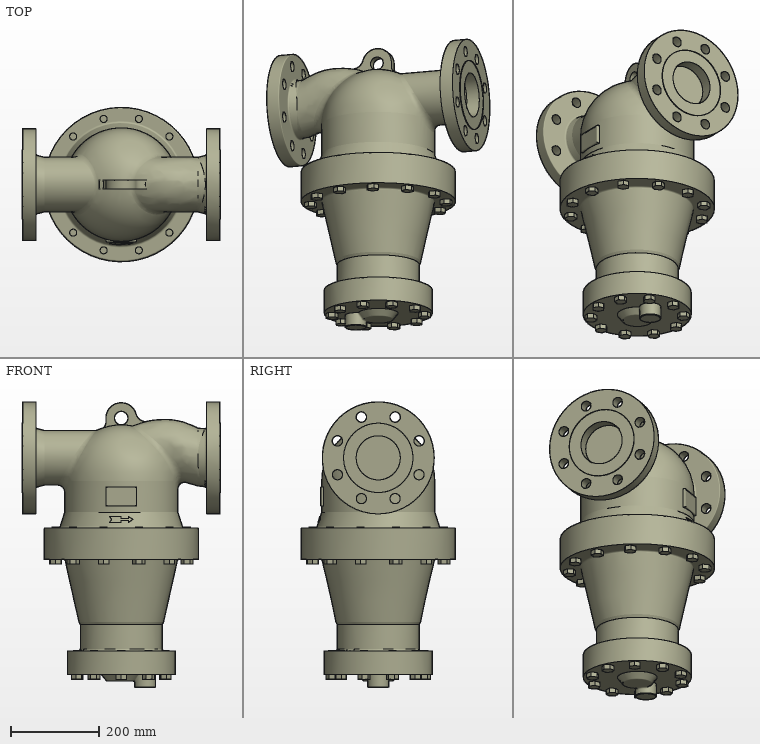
import cadquery as cq
import math


BODY_RADIUS = 257 / 2
DOME_CENTER_Z = -53.5
BODY_CONE_TOP_Z = -123.5
BODY_CONE_RADIUS = 139.7
BODY_FOOT_FILLET = 5

MAIN_FLANGE_RADIUS = 350 / 2
MAIN_FLANGE_TOP_Z = -158.5
MAIN_FLANGE_BOTTOM_Z = -230
MAIN_FLANGE_FILLET = 3.5
MAIN_BOLT_CIRCLE_RADIUS = 154
MAIN_BOLT_COUNT = 12
MAIN_BOLT_START_ANGLE = 15
MAIN_HEAD_TWIST = 15

LOWER_CONE_TOP_RADIUS = 254 / 2
LOWER_CONE_FILLET = 4
LOWER_CONE_BOTTOM_RADIUS = 96
LOWER_CONE_BOTTOM_Z = -372
NECK_RADIUS = 186 / 2
NECK_TOP_Z = -378
NECK_FILLET = 4

BOTTOM_FLANGE_RADIUS = 245 / 2
BOTTOM_FLANGE_TOP_Z = -437
BOTTOM_FLANGE_BOTTOM_Z = -491
BOTTOM_BOLT_CIRCLE_RADIUS = 105
BOTTOM_BOLT_COUNT = 10
BOTTOM_BOLT_START_ANGLE = 18
BOTTOM_HEAD_TWIST = 0

BOLT_DIAMETER = 16
MAIN_BOLT_END_HEIGHT = 2
BOTTOM_BOLT_END_HEIGHT = 1
HEAD_ACROSS_FLATS = 24
HEAD_HEIGHT = 10.5

DRAIN_COVER_RADIUS = 45
DRAIN_COVER_TIP_RADIUS = 33
DRAIN_COVER_BOTTOM_Z = -506
DRAIN_BOSS_DIAMETER = 48
DRAIN_BOSS_X = 54
DRAIN_BOSS_BOTTOM_Z = -520
DRAIN_BOSS_CHAMFER = 1.5
DRAIN_FILLET = 3

PORT_FACE_X = 450 / 2
RAISED_FACE_DIAMETER = 157.2
RAISED_FACE_HEIGHT = 1.6
PORT_FLANGE_DIAMETER = 254
PORT_FLANGE_THICKNESS = 32
PORT_FLANGE_FILLET = 2
PORT_BORE_DIAMETER = 100
PORT_BORE_DEPTH = 30
PORT_HOLE_DIAMETER = 23
PORT_HOLE_CIRCLE_RADIUS = 200 / 2
PORT_HOLE_COUNT = 8
HUB_RADIUS = 66
HUB_ROOT_FILLET = 4
HUB_SMALL_END_X = 173.5
PIPE_RADIUS = 124 / 2
PIPE_FILLET = 15
WALL_TOLERANCE = 0.01
SEAM_SAMPLES = (0.1, 0.5, 0.9)

ELBOW_TOP_X = 100
ELBOW_TOP_AXIS_Z = 25.5
ELBOW_RISE_RADIUS = 127
ELBOW_RISE_ANGLE = 45
ELBOW_FALL_ANGLE = 8
ELBOW_END_X = 203
ELBOW_END_AXIS_Z = -6.5
OUTLET_END_DROP = 1.6

LUG_HOLE_Z = 90
LUG_HOLE_DIAMETER = 30
LUG_RADIUS = 35
LUG_THICKNESS = 20
LUG_LEFT_FOOT_RADIUS = 15
LUG_LEFT_FOOT_Z = 65
LUG_RIGHT_FOOT_RADIUS = 24
LUG_RIGHT_FOOT_Z = 82
LUG_RIGHT_END_X = 63
LUG_BASE_Z = 40

PLATE_WIDTH = 68
PLATE_HEIGHT = 43.5
PLATE_CENTER_Z = -87.5
PLATE_FACE_Y = -130.5
PLATE_FILLET = 2
ARROW_CENTER_Z = -139.5
ARROW_RELIEF = 1
ARROW_HALF_LENGTH = 26.5
ARROW_HALF_HEIGHT = 6.5
ARROW_NOTCH_X = -22
ARROW_TAIL_END_X = -1
ARROW_HEAD_X = 16.5
ARROW_SHAFT_HALF_HEIGHT = 2.5


def cylinder_z(radius, bottom_z, top_z):
    return cq.Workplane("XY").workplane(offset=bottom_z).circle(radius).extrude(top_z - bottom_z)


def slope_vector(angle):
    """Unit direction (x, z) climbing at the given angle."""
    return math.cos(math.radians(angle)), math.sin(math.radians(angle))


def upper_body():
    cone_slope = math.atan2(BODY_CONE_TOP_Z - MAIN_FLANGE_TOP_Z, BODY_CONE_RADIUS - BODY_RADIUS)
    foot_length = BODY_FOOT_FILLET * math.tan(cone_slope / 2)
    foot_top = (
        BODY_CONE_RADIUS - foot_length * math.cos(cone_slope),
        MAIN_FLANGE_TOP_Z + foot_length * math.sin(cone_slope),
    )
    return (
        cq.Workplane("XZ")
        .moveTo(0, MAIN_FLANGE_TOP_Z)
        .lineTo(BODY_CONE_RADIUS + foot_length, MAIN_FLANGE_TOP_Z)
        .radiusArc(foot_top, BODY_FOOT_FILLET)
        .lineTo(BODY_RADIUS, BODY_CONE_TOP_Z)
        .lineTo(BODY_RADIUS, DOME_CENTER_Z)
        .radiusArc((0, DOME_CENTER_Z + BODY_RADIUS), -BODY_RADIUS)
        .close()
        .revolve(360, (0, 0, 0), (0, 1, 0))
    )


def inlet_pipe():
    return cq.Workplane("YZ").circle(PIPE_RADIUS).extrude(-(PORT_FACE_X - PORT_FLANGE_THICKNESS))


def outlet_elbow():
    """Bent pipe from the dome, with a straight end inside the tapered hub."""
    rise = math.radians(ELBOW_RISE_ANGLE)
    start = (
        ELBOW_TOP_X - ELBOW_RISE_RADIUS * math.sin(rise),
        ELBOW_TOP_AXIS_Z - ELBOW_RISE_RADIUS * (1 - math.cos(rise)),
    )
    path = cq.Workplane("XZ").spline(
        [start, (ELBOW_TOP_X, ELBOW_TOP_AXIS_Z), (ELBOW_END_X, ELBOW_END_AXIS_Z)],
        tangents=[
            slope_vector(ELBOW_RISE_ANGLE),
            slope_vector(0),
            slope_vector(-ELBOW_FALL_ANGLE),
        ],
    )
    section = cq.Plane(
        origin=(start[0], 0, start[1]),
        xDir=(0, 1, 0),
        normal=(math.cos(rise), 0, math.sin(rise)),
    )
    beyond_hub = (
        cq.Workplane("YZ", origin=(HUB_SMALL_END_X, 0, 0))
        .circle(PORT_FLANGE_DIAMETER / 2)
        .extrude(PORT_FACE_X)
    )
    bend = cq.Workplane(section).circle(PIPE_RADIUS).sweep(path).cut(beyond_hub)
    end_outline = bend.faces(">X").wires().val()
    end_length = PORT_FACE_X - PORT_FLANGE_THICKNESS - HUB_SMALL_END_X
    end_run = cq.Vector(end_length, 0, -OUTLET_END_DROP)
    straight = cq.Solid.extrudeLinear(end_outline, [], end_run)
    return bend.union(straight)


def on_body_wall(point):
    """True for a point on the dome or on the cylinder below it."""
    height = max(point.z - DOME_CENTER_Z, 0)
    radius = math.sqrt(point.x**2 + point.y**2 + height**2)
    return abs(radius - BODY_RADIUS) < WALL_TOLERANCE


def join_pipe(body, pipe):
    """Join a pipe to the body and round the seam between them."""
    joined = body.union(pipe)
    seam = [
        edge
        for edge in joined.edges("not %CIRCLE").edges("not %LINE").vals()
        if all(on_body_wall(edge.positionAt(share)) for share in SEAM_SAMPLES)
    ]
    return joined.newObject(seam).fillet(PIPE_FILLET)


def port_flange():
    """Flange and tapered hub of the +X port."""
    back_x = PORT_FACE_X - PORT_FLANGE_THICKNESS
    flange = (
        cq.Workplane("YZ", origin=(back_x, 0, 0))
        .circle(PORT_FLANGE_DIAMETER / 2)
        .extrude(PORT_FLANGE_THICKNESS - RAISED_FACE_HEIGHT)
        .edges("<X")
        .fillet(PORT_FLANGE_FILLET)
    )
    raised_face = (
        cq.Workplane("YZ", origin=(back_x, 0, 0))
        .circle(RAISED_FACE_DIAMETER / 2)
        .extrude(PORT_FLANGE_THICKNESS)
    )
    hub = (
        cq.Workplane("XY")
        .moveTo(HUB_SMALL_END_X, 0)
        .lineTo(HUB_SMALL_END_X, PIPE_RADIUS)
        .lineTo(back_x - HUB_ROOT_FILLET, HUB_RADIUS)
        .radiusArc((back_x, HUB_RADIUS + HUB_ROOT_FILLET), -HUB_ROOT_FILLET)
        .lineTo(back_x, 0)
        .close()
        .revolve(360, (0, 0, 0), (1, 0, 0))
    )
    return flange.union(raised_face).union(hub)


def port_cuts():
    """Blind bore and bolt holes of the +X port."""
    bore = (
        cq.Workplane("YZ", origin=(PORT_FACE_X, 0, 0))
        .circle(PORT_BORE_DIAMETER / 2)
        .extrude(-PORT_BORE_DEPTH)
    )
    holes = (
        cq.Workplane("YZ", origin=(PORT_FACE_X, 0, 0))
        .polarArray(PORT_HOLE_CIRCLE_RADIUS, 180 / PORT_HOLE_COUNT, 360, PORT_HOLE_COUNT)
        .circle(PORT_HOLE_DIAMETER / 2)
        .extrude(-PORT_FLANGE_THICKNESS)
    )
    return bore.union(holes)


def main_flange():
    flange = cylinder_z(MAIN_FLANGE_RADIUS, MAIN_FLANGE_BOTTOM_Z, MAIN_FLANGE_TOP_Z)
    return flange.edges(">Z").fillet(MAIN_FLANGE_FILLET)


def lower_body():
    return (
        cq.Workplane("XZ")
        .moveTo(0, MAIN_FLANGE_BOTTOM_Z)
        .lineTo(LOWER_CONE_TOP_RADIUS + LOWER_CONE_FILLET, MAIN_FLANGE_BOTTOM_Z)
        .radiusArc((LOWER_CONE_TOP_RADIUS, MAIN_FLANGE_BOTTOM_Z - LOWER_CONE_FILLET), -LOWER_CONE_FILLET)
        .lineTo(LOWER_CONE_BOTTOM_RADIUS, LOWER_CONE_BOTTOM_Z)
        .lineTo(NECK_RADIUS, NECK_TOP_Z)
        .lineTo(NECK_RADIUS, BOTTOM_FLANGE_TOP_Z + NECK_FILLET)
        .radiusArc((NECK_RADIUS + NECK_FILLET, BOTTOM_FLANGE_TOP_Z), -NECK_FILLET)
        .lineTo(BOTTOM_FLANGE_RADIUS, BOTTOM_FLANGE_TOP_Z)
        .lineTo(BOTTOM_FLANGE_RADIUS, BOTTOM_FLANGE_BOTTOM_Z)
        .lineTo(0, BOTTOM_FLANGE_BOTTOM_Z)
        .close()
        .revolve(360, (0, 0, 0), (0, 1, 0))
    )


def drain():
    cover_height = BOTTOM_FLANGE_BOTTOM_Z - DRAIN_COVER_BOTTOM_Z
    cover = (
        cq.Workplane("XY", origin=(0, 0, BOTTOM_FLANGE_BOTTOM_Z))
        .circle(DRAIN_COVER_RADIUS)
        .workplane(offset=-cover_height)
        .circle(DRAIN_COVER_TIP_RADIUS)
        .loft()
    )
    boss = cylinder_z(DRAIN_BOSS_DIAMETER / 2, DRAIN_BOSS_BOTTOM_Z, BOTTOM_FLANGE_BOTTOM_Z)
    boss = boss.edges("<Z").chamfer(DRAIN_BOSS_CHAMFER).translate((DRAIN_BOSS_X, 0, 0))
    cover = cover.faces("<Z").edges().fillet(DRAIN_FILLET)
    joined = cover.union(boss)
    seam = [
        edge
        for edge in joined.edges("not %CIRCLE").edges("not %LINE").vals()
        if edge.Center().z < BOTTOM_FLANGE_BOTTOM_Z
    ]
    return joined.newObject(seam).fillet(DRAIN_FILLET)


def bolt_ring(circle_radius, count, start_angle, head_twist, end_z, bottom_z):
    """Hexagon heads below a flange pair and the bolt ends showing above it."""
    across_corners = HEAD_ACROSS_FLATS / math.cos(math.pi / 6)
    head = (
        cq.Workplane("XY", origin=(0, 0, bottom_z))
        .polygon(6, across_corners)
        .extrude(-HEAD_HEIGHT)
        .rotate((0, 0, 0), (0, 0, 1), head_twist)
    )
    shank = cylinder_z(BOLT_DIAMETER / 2, bottom_z, end_z)
    bolt = head.union(shank).translate((circle_radius, 0, 0))
    bolts = cq.Workplane("XY")
    for i in range(count):
        angle = start_angle + i * 360 / count
        bolts = bolts.add(bolt.rotate((0, 0, 0), (0, 0, 1), angle))
    return bolts.combine()


def lug():
    left_foot_x = -LUG_RADIUS - LUG_LEFT_FOOT_RADIUS
    right_center_z = LUG_RIGHT_FOOT_Z + LUG_RIGHT_FOOT_RADIUS
    center_distance = LUG_RADIUS + LUG_RIGHT_FOOT_RADIUS
    right_center_x = math.sqrt(center_distance**2 - (right_center_z - LUG_HOLE_Z) ** 2)
    share = LUG_RADIUS / center_distance
    right_tangent = (right_center_x * share, LUG_HOLE_Z + (right_center_z - LUG_HOLE_Z) * share)
    return (
        cq.Workplane("XZ")
        .moveTo(left_foot_x, LUG_BASE_Z)
        .lineTo(left_foot_x, LUG_LEFT_FOOT_Z)
        .radiusArc((-LUG_RADIUS, LUG_LEFT_FOOT_Z + LUG_LEFT_FOOT_RADIUS), -LUG_LEFT_FOOT_RADIUS)
        .lineTo(-LUG_RADIUS, LUG_HOLE_Z)
        .threePointArc((0, LUG_HOLE_Z + LUG_RADIUS), right_tangent)
        .radiusArc((right_center_x, LUG_RIGHT_FOOT_Z), -LUG_RIGHT_FOOT_RADIUS)
        .lineTo(LUG_RIGHT_END_X, LUG_RIGHT_FOOT_Z)
        .lineTo(LUG_RIGHT_END_X, LUG_BASE_Z)
        .close()
        .extrude(LUG_THICKNESS / 2, both=True)
    )


def lug_hole():
    return (
        cq.Workplane("XZ")
        .center(0, LUG_HOLE_Z)
        .circle(LUG_HOLE_DIAMETER / 2)
        .extrude(LUG_THICKNESS, both=True)
    )


def nameplate():
    return (
        cq.Workplane("XZ", origin=(0, PLATE_FACE_Y, PLATE_CENTER_Z))
        .rect(PLATE_WIDTH, PLATE_HEIGHT)
        .extrude(PLATE_FACE_Y / 2)
        .faces("<Y")
        .edges()
        .fillet(PLATE_FILLET)
    )


def flow_arrow():
    """Arrow pointing from inlet to outlet, raised evenly from the body cone."""
    upper_edge = [
        (-ARROW_HALF_LENGTH, ARROW_HALF_HEIGHT),
        (ARROW_TAIL_END_X, ARROW_HALF_HEIGHT),
        (ARROW_TAIL_END_X, ARROW_SHAFT_HALF_HEIGHT),
        (ARROW_HEAD_X, ARROW_SHAFT_HALF_HEIGHT),
        (ARROW_HEAD_X, ARROW_HALF_HEIGHT),
    ]
    lower_edge = [(x, -z) for x, z in reversed(upper_edge)]
    outline = [(ARROW_NOTCH_X, 0)] + upper_edge + [(ARROW_HALF_LENGTH, 0)] + lower_edge
    prism = (
        cq.Workplane("XZ", origin=(0, -BODY_RADIUS / 2, ARROW_CENTER_Z))
        .polyline(outline)
        .close()
        .extrude(BODY_RADIUS)
    )
    raised_cone = (
        cq.Workplane("XY", origin=(0, 0, MAIN_FLANGE_TOP_Z))
        .circle(BODY_CONE_RADIUS + ARROW_RELIEF)
        .workplane(offset=BODY_CONE_TOP_Z - MAIN_FLANGE_TOP_Z)
        .circle(BODY_RADIUS + ARROW_RELIEF)
        .loft()
    )
    return prism.intersect(raised_cone)


main_bolts = bolt_ring(
    MAIN_BOLT_CIRCLE_RADIUS,
    MAIN_BOLT_COUNT,
    MAIN_BOLT_START_ANGLE,
    MAIN_HEAD_TWIST,
    MAIN_FLANGE_TOP_Z + MAIN_BOLT_END_HEIGHT,
    MAIN_FLANGE_BOTTOM_Z,
)
bottom_bolts = bolt_ring(
    BOTTOM_BOLT_CIRCLE_RADIUS,
    BOTTOM_BOLT_COUNT,
    BOTTOM_BOLT_START_ANGLE,
    BOTTOM_HEAD_TWIST,
    BOTTOM_FLANGE_TOP_Z + BOTTOM_BOLT_END_HEIGHT,
    BOTTOM_FLANGE_BOTTOM_Z,
)

result = join_pipe(upper_body(), inlet_pipe())
result = join_pipe(result, outlet_elbow())
result = result.union(main_flange()).union(lower_body()).union(drain())
result = result.union(port_flange()).union(port_flange().mirror("YZ"))
result = result.union(lug()).union(nameplate()).union(flow_arrow())
result = result.union(main_bolts).union(bottom_bolts)
result = result.cut(port_cuts()).cut(port_cuts().mirror("YZ")).cut(lug_hole())